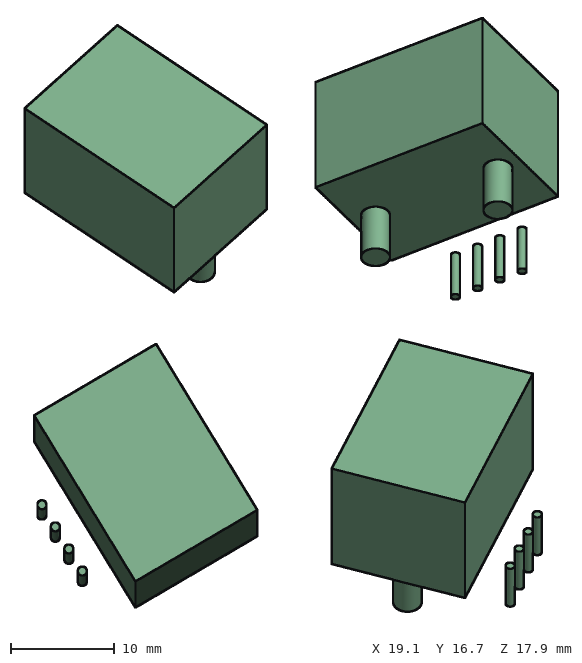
import cadquery as cq

housing_width = 19.05
housing_depth = 13.72
housing_height = 12.82

leg_length = 5.09

peg_diameter = 2.8
peg_spacing = 13.96
peg_count = 2

pin_diameter = 0.9
pin_pitch = 2.53
pin_count = 4
overall_depth = 16.7
pin_row_y = overall_depth - housing_depth / 2 - pin_diameter / 2


def make_housing():
    """Plain rectangular block."""
    return cq.Workplane("XY").box(
        housing_width, housing_depth, housing_height, centered=(True, True, False)
    )


def make_leg(diameter, x, y):
    """Cylinder hanging down from the level of the housing underside."""
    return cq.Workplane("XY").center(x, y).circle(diameter / 2).extrude(-leg_length)


def row_positions(count, pitch):
    """X positions of an evenly spaced row centred on X = 0."""
    return [(i - (count - 1) / 2) * pitch for i in range(count)]


housing = make_housing()
pegs = [make_leg(peg_diameter, x, 0) for x in row_positions(peg_count, peg_spacing)]
pins = [make_leg(pin_diameter, x, pin_row_y) for x in row_positions(pin_count, pin_pitch)]

result = cq.Compound.makeCompound(
    [housing.val()] + [peg.val() for peg in pegs] + [pin.val() for pin in pins]
)